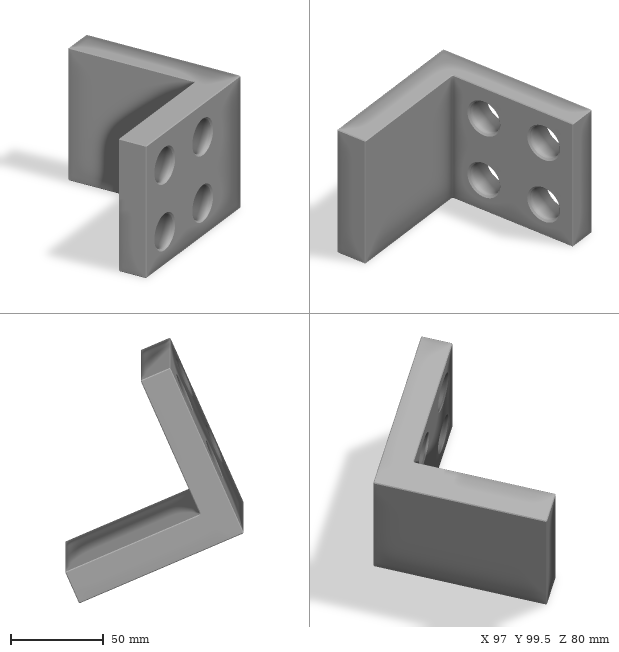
import cadquery as cq

length_x = 97.0
length_y = 99.5
height = 80.0

back_thickness = 19.0
side_thickness = 17.5

edge_chamfer = 0.5
inner_corner_radius = 1.0
hole_chamfer = 1.0

hole_diameter = 20.0
hole_spacing = height / 2
hole_margin_y = 19.5
hole_margin_z = (height - hole_spacing) / 2

inner_x = length_x - side_thickness
inner_y = length_y - back_thickness


def make_angle():
    """L-shaped block with its outer edges chamfered and its inside corner rounded."""
    outline = [
        (0, inner_y),
        (inner_x, inner_y),
        (inner_x, 0),
        (length_x, 0),
        (length_x, length_y),
        (0, length_y),
    ]
    block = cq.Workplane("XY").polyline(outline).close().extrude(height)
    inside_corner = cq.selectors.NearestToPointSelector((inner_x, inner_y, height / 2))
    block = block.edges(inside_corner).fillet(inner_corner_radius)
    end_face_edges = block.faces("|Z").edges()
    outer_corners = block.edges("|Z").edges("<X or >X or <Y")
    return end_face_edges.add(outer_corners).chamfer(edge_chamfer)


def make_hole_cutter(y, z):
    """Cylinder along X with a conical countersink at both wall faces."""
    radius = hole_diameter / 2
    profile = [
        (inner_x, 0),
        (inner_x, radius + hole_chamfer),
        (inner_x + hole_chamfer, radius),
        (length_x - hole_chamfer, radius),
        (length_x, radius + hole_chamfer),
        (length_x, 0),
    ]
    cutter = cq.Workplane("XY").polyline(profile).close().revolve(360, (0, 0, 0), (1, 0, 0))
    return cutter.translate((0, y, z))


result = make_angle()
for row in range(2):
    for column in range(2):
        hole_y = hole_margin_y + column * hole_spacing
        hole_z = hole_margin_z + row * hole_spacing
        result = result.cut(make_hole_cutter(hole_y, hole_z))